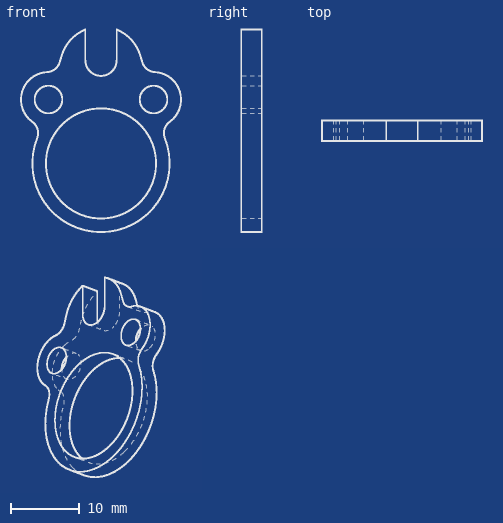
import cadquery as cq
import math

thickness = 3.0
ring_radius = 10.0
bore_diameter = 16.0
ear_x = 7.65
ear_z = 9.3
ear_radius = 4.02
ear_hole_diameter = 4.0
head_z = 13.97
head_radius = 6.0
flank_angle = 16.5
blend_radius = 2.0
slot_width = 4.52
slot_bottom_z = 12.75


def polar(centre, radius, angle):
    """Point at the given radius and angle (radians) from a centre."""
    return (centre[0] + radius * math.cos(angle), centre[1] + radius * math.sin(angle))


def between(start, end, centre):
    """Middle of the short arc from start to end about a centre."""
    radius = math.dist(start, centre)
    chord_middle = ((start[0] + end[0]) / 2, (start[1] + end[1]) / 2)
    angle = math.atan2(chord_middle[1] - centre[1], chord_middle[0] - centre[0])
    return polar(centre, radius, angle)


def mirrored(point):
    return (-point[0], point[1])


ring = (0, 0)
ear = (ear_x, ear_z)
head = (0, head_z)
ear_blend_distance = ear_radius + blend_radius

slot_radius = slot_width / 2
tip = (slot_radius, head_z + math.sqrt(head_radius**2 - slot_radius**2))

flank = math.radians(flank_angle)
flank_top = polar(head, head_radius, flank)
ear_offset = ear_x * math.cos(flank) + (ear_z - head_z) * math.sin(flank)
upper_angle = flank + math.acos((head_radius + blend_radius - ear_offset) / ear_blend_distance)
upper_blend = polar(ear, ear_blend_distance, upper_angle)
flank_bottom = polar(upper_blend, blend_radius, flank + math.pi)
ear_top = polar(ear, ear_radius, upper_angle)

ring_blend_distance = ring_radius + blend_radius
ear_distance = math.dist(ring, ear)
corner_angle = math.acos(
    (ring_blend_distance**2 + ear_distance**2 - ear_blend_distance**2)
    / (2 * ring_blend_distance * ear_distance)
)
lower_angle = math.atan2(ear_z, ear_x) - corner_angle
lower_blend = polar(ring, ring_blend_distance, lower_angle)
ear_bottom_angle = math.atan2(lower_blend[1] - ear_z, lower_blend[0] - ear_x)
ear_bottom = polar(ear, ear_radius, ear_bottom_angle)
ring_top = polar(ring, ring_radius, lower_angle)

right_side = [
    (tip, between(tip, flank_top, head), flank_top),
    (flank_top, None, flank_bottom),
    (flank_bottom, between(flank_bottom, ear_top, upper_blend), ear_top),
    (ear_top, between(ear_top, ear_bottom, ear), ear_bottom),
    (ear_bottom, between(ear_bottom, ring_top, lower_blend), ring_top),
]
left_side = [
    (mirrored(end), mirrored(middle) if middle else None, mirrored(start))
    for start, middle, end in reversed(right_side)
]
ring_arc = (ring_top, (0, -ring_radius), mirrored(ring_top))

slot_arc_z = slot_bottom_z + slot_radius
outline = cq.Workplane("XZ").moveTo(*tip)
for start, middle, end in right_side + [ring_arc] + left_side:
    outline = outline.threePointArc(middle, end) if middle else outline.lineTo(*end)
outline = (
    outline.lineTo(-slot_radius, slot_arc_z)
    .threePointArc((0, slot_bottom_z), (slot_radius, slot_arc_z))
    .close()
)

bore = cq.Workplane("XZ").circle(bore_diameter / 2).extrude(thickness)
ear_holes = (
    cq.Workplane("XZ")
    .pushPoints([ear, mirrored(ear)])
    .circle(ear_hole_diameter / 2)
    .extrude(thickness)
)

result = outline.extrude(thickness).cut(bore).cut(ear_holes)